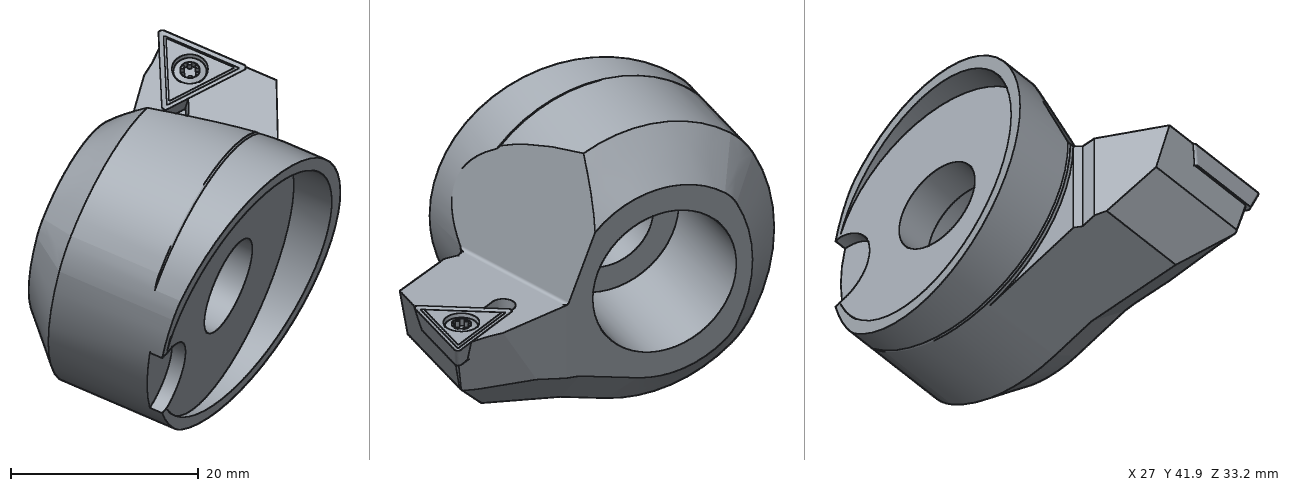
import cadquery as cq
import math


HUB_R = 16.6
FLAT_SIDE_R = 20.6
FLAT_SIDE_Y = -15.45
BLEND_R = 10.35
FRONT_CHAMFER = 5.03
REAR_X = 23.4
REAR_SLANT = 9.0
TURNED_R = 16.5
TURNED_Y = -0.035
TURNED_START = 15.6
TURNED_RAMP = 0.25

BORE_R = 8.5
BORE_DEPTH = 14.0
THROUGH_R = 5.5
REAR_RECESS_R = 14.95
REAR_RECESS_X = 18.55
SCOOP_R = 5.03
SCOOP_X = 16.93
SCOOP_Y = -14.8

ARM_ROOT_Y = 11.6
ARM_BEND = (-2.25, 20.25)
ARM_SHOULDER_Y = 22.1
ARM_END_Y = 26.27
ARM_BACK_X = 14.5
BACK_CORNER_X = 10.5
BACK_CORNER_Y = 19.05
BACK_FOOT = (15.15, 16.65)
FLARE_Y = 17.35
UNDERSIDE_ANGLE = 16.0
UNDERSIDE_END_Y = 20.25
TIP_Y = 25.2
TIP_Z = -5.82
SIDE_RELIEF = 9.0
NOSE_SIDE_TURN = 6.5
NOSE_RELIEF = 9.5
END_RELIEF = 12.0
CORNER_CUT = 0.38
CORNER_RELIEF = 14.5
NOSE_BEVEL_POINT = (-1.1, 15.63, -7.55)
NOSE_BEVEL_SLOPE_X = -1.05
NOSE_BEVEL_SLOPE_Y = 0.08

WALL_Y = 11.45
WALL_TURN = 17.9
WALL_LEAN = 20.6
WALL_FILLET = 0.45

INSERT_CENTRE = (1.68, 23.25)
INSERT_INRADIUS = 3.2
INSERT_THICKNESS = 2.4
INSERT_NOSE_R = 0.4
INSERT_RELIEF = 11.0
LAND_WIDTH = 0.55
GROOVE_WIDTH = 0.8
GROOVE_DEPTH = 0.13
INNER_NOSE_R = 0.1

SLOT_CENTRE = (2.97, 17.7)
SLOT_R = 1.35
SLOT_LENGTH = 1.68
SLOT_ANGLE = 120.0
SLOT_TAPER = 7.0

HEAD_R = 1.75
HEAD_RIM_Z = -0.4
HEAD_TOP_Z = -0.15
HEAD_MOUTH_R = 1.93
SHANK_R = 1.25
HEAD_BOTTOM_Z = -1.1
SCREW_BOTTOM_Z = -5.03
DRIVE_R = 1.05
DRIVE_RIM_DEPTH = 0.1
DRIVE_DEPTH = 0.85
LOBES = 6
FLUTE_R = 0.25
FLUTE_PITCH_R = 0.95

BIG = 62.85


def sin(degrees):
    return math.sin(math.radians(degrees))


def cos(degrees):
    return math.cos(math.radians(degrees))


def tan(degrees):
    return math.tan(math.radians(degrees))


def half_space(point, normal):
    """Block that fills the side of a plane towards which its normal points."""
    return cq.Workplane(cq.Plane(origin=point, normal=normal)).rect(2 * BIG, 2 * BIG).extrude(BIG)


def relieved_side(x, y, facing, relief):
    """Cutter for a side face through (x, y, 0) that faces a plan angle and leans in below."""
    return half_space((x, y, 0), (cos(facing) * cos(relief), sin(facing) * cos(relief), -sin(relief)))


def x_cylinder(radius, start, end):
    return cq.Workplane("YZ", origin=(start, 0, 0)).circle(radius).extrude(end - start)


def hub_blank():
    """Hub outline of tangent arcs, symmetric about Y, with a chamfered front edge."""
    flat_centre = FLAT_SIDE_Y + FLAT_SIDE_R
    to_main = HUB_R - BLEND_R
    to_flat = FLAT_SIDE_R - BLEND_R
    blend_y = (to_main**2 - to_flat**2 + flat_centre**2) / (2 * flat_centre)
    blend_z = math.sqrt(to_main**2 - blend_y**2)

    main_angle = math.degrees(math.atan2(blend_z, blend_y))
    flat_angle = math.degrees(math.atan2(blend_z, blend_y - flat_centre))
    mid_angle = (main_angle + flat_angle) / 2
    main_end = (HUB_R * cos(main_angle), HUB_R * sin(main_angle))
    blend_mid = (blend_y + BLEND_R * cos(mid_angle), blend_z + BLEND_R * sin(mid_angle))
    flat_end = (flat_centre + FLAT_SIDE_R * cos(flat_angle), FLAT_SIDE_R * sin(flat_angle))

    def mirrored(point):
        return (point[0], -point[1])

    return (
        cq.Workplane("YZ")
        .moveTo(*main_end)
        .threePointArc(blend_mid, flat_end)
        .threePointArc((FLAT_SIDE_Y, 0), mirrored(flat_end))
        .threePointArc(mirrored(blend_mid), mirrored(main_end))
        .threePointArc((HUB_R, 0), main_end)
        .close()
        .extrude(REAR_X)
        .faces("<X")
        .chamfer(FRONT_CHAMFER)
    )


def turned_band_cutter():
    """Ring that trims the rear of the hub to the turned radius."""
    outside = HUB_R + FRONT_CHAMFER
    return (
        cq.Workplane("XY")
        .polyline(
            [
                (TURNED_START, outside),
                (TURNED_START, HUB_R),
                (TURNED_START + TURNED_RAMP, TURNED_R),
                (REAR_X, TURNED_R),
                (REAR_X, outside),
            ]
        )
        .close()
        .revolve(360, (0, 0), (1, 0))
        .translate((0, TURNED_Y, 0))
    )


def hub_body():
    rear_axis_x = REAR_X - (TURNED_R + TURNED_Y) * tan(REAR_SLANT)
    rear_cut = half_space((rear_axis_x, 0, 0), (cos(REAR_SLANT), -sin(REAR_SLANT), 0))
    return hub_blank().cut(turned_band_cutter()).cut(rear_cut)


def nose_tip_x():
    """X of the arm's outer front corner."""
    return ARM_BEND[0] - (ARM_END_Y - ARM_SHOULDER_Y) * tan(NOSE_SIDE_TURN)


def arm_plan():
    """Plan outline of the arm, before its sides are relieved."""
    return [
        (0, 0),
        (0, ARM_ROOT_Y),
        ARM_BEND,
        (ARM_BEND[0], ARM_SHOULDER_Y),
        (nose_tip_x(), ARM_END_Y),
        (BACK_CORNER_X, ARM_END_Y),
        (ARM_BACK_X, BACK_CORNER_Y),
        (ARM_BACK_X, FLARE_Y),
        BACK_FOOT,
        (BACK_FOOT[0], 0),
    ]


def arm_profile():
    """Arm outline seen along X: the underside runs off the hub as a tangent."""
    tangent = (HUB_R * sin(UNDERSIDE_ANGLE), -HUB_R * cos(UNDERSIDE_ANGLE))
    underside_end_z = tangent[1] + (UNDERSIDE_END_Y - tangent[0]) * tan(UNDERSIDE_ANGLE)
    return [
        (0, 0),
        tangent,
        (UNDERSIDE_END_Y, underside_end_z),
        (TIP_Y, TIP_Z),
        (ARM_END_Y, TIP_Z),
        (ARM_END_Y, 0),
    ]


def underside_bevel():
    """Two bevels on the lower front edge: one continues the hub chamfer, one runs to the nose."""
    inner_r = HUB_R - FRONT_CHAMFER
    down_y = sin(UNDERSIDE_ANGLE)
    down_z = -cos(UNDERSIDE_ANGLE)
    root_bevel = half_space((0, inner_r * down_y, inner_r * down_z), (-1, down_y, down_z))
    nose_bevel = half_space(NOSE_BEVEL_POINT, (NOSE_BEVEL_SLOPE_X, NOSE_BEVEL_SLOPE_Y, -1))
    return root_bevel.intersect(nose_bevel)


def arm_body():
    plan = cq.Workplane("XY").polyline(arm_plan()).close().extrude(-HUB_R)
    profile = cq.Workplane("YZ", origin=(-BIG, 0, 0)).polyline(arm_profile()).close().extrude(2 * BIG)
    arm = plan.intersect(profile)

    side = relieved_side(ARM_BEND[0], ARM_SHOULDER_Y, 180, SIDE_RELIEF)
    nose = relieved_side(ARM_BEND[0], ARM_SHOULDER_Y, 180 + NOSE_SIDE_TURN, NOSE_RELIEF)
    arm = arm.cut(side.intersect(nose))
    arm = arm.cut(relieved_side(0, ARM_END_Y, 90, END_RELIEF))
    arm = arm.cut(relieved_side(nose_tip_x(), ARM_END_Y - CORNER_CUT, 135, CORNER_RELIEF))
    return arm.cut(underside_bevel())


def chip_clearance():
    """Cutter above the arm, bounded by a leaning wall with a filleted foot."""
    section = cq.Plane(
        origin=(0, WALL_Y, 0),
        xDir=(-sin(WALL_TURN), cos(WALL_TURN), 0),
        normal=(cos(WALL_TURN), sin(WALL_TURN), 0),
    )
    return (
        cq.Workplane(section)
        .polyline([(0, 0), (BIG, 0), (BIG, BIG), (-BIG * tan(WALL_LEAN), BIG)])
        .close()
        .extrude(BIG, both=True)
        .edges(cq.NearestToPointSelector((0, WALL_Y, 0)))
        .fillet(WALL_FILLET)
    )


def triangle_frustum(top_inset, bottom_inset, nose_r, bottom_z):
    """Rounded triangle between Z = 0 and bottom_z, inset from the cutting edges."""

    def outline(inset):
        circumradius = 2 * (INSERT_INRADIUS - inset)
        return cq.Sketch().regularPolygon(circumradius, 3, 180).vertices().fillet(nose_r)

    return (
        cq.Workplane("XY", origin=(*INSERT_CENTRE, 0))
        .placeSketch(outline(top_inset), outline(bottom_inset).moved(cq.Location((0, 0, bottom_z))))
        .loft()
    )


def insert_blank():
    inset = INSERT_THICKNESS * tan(INSERT_RELIEF)
    return triangle_frustum(0, inset, INSERT_NOSE_R, -INSERT_THICKNESS)


def revolved_about_screw(profile):
    """Solid of revolution about the screw axis from (radius, Z) points."""
    return (
        cq.Workplane("XZ", origin=(INSERT_CENTRE[0], INSERT_CENTRE[1], 0))
        .polyline(profile)
        .close()
        .revolve(360, (0, 0), (0, 1))
    )


def screw_blank():
    return revolved_about_screw(
        [
            (0, HEAD_TOP_Z),
            (DRIVE_R, HEAD_TOP_Z),
            (HEAD_R, HEAD_RIM_Z),
            (SHANK_R, HEAD_BOTTOM_Z),
            (SHANK_R, SCREW_BOTTOM_Z),
            (0, SCREW_BOTTOM_Z),
        ]
    )


def make_insert():
    """Triangular insert with a chip groove along its edges and a screw seat."""
    groove = triangle_frustum(0, LAND_WIDTH, INNER_NOSE_R, -GROOVE_DEPTH).cut(
        triangle_frustum(GROOVE_WIDTH, LAND_WIDTH, INNER_NOSE_R, -GROOVE_DEPTH)
    )
    hole_mouth = revolved_about_screw([(0, 0), (HEAD_MOUTH_R, 0), (HEAD_R, HEAD_RIM_Z), (0, HEAD_RIM_Z)])
    return insert_blank().cut(groove).cut(hole_mouth).cut(screw_blank())


def make_screw():
    """Countersunk screw with a six-lobed drive recess."""
    drive_top = cq.Workplane("XY", origin=(*INSERT_CENTRE, HEAD_TOP_Z))
    rim = drive_top.circle(DRIVE_R).extrude(-DRIVE_RIM_DEPTH)
    flutes = drive_top.polarArray(FLUTE_PITCH_R, 0, 360, LOBES).circle(FLUTE_R).extrude(-DRIVE_DEPTH)
    drive = drive_top.circle(DRIVE_R).extrude(-DRIVE_DEPTH).cut(flutes)
    return screw_blank().cut(rim).cut(drive)


def corner_slot():
    """Tapered slot that clears the insert's inner corner."""
    centre_x = SLOT_CENTRE[0] + SLOT_LENGTH / 2 * cos(SLOT_ANGLE)
    centre_y = SLOT_CENTRE[1] + SLOT_LENGTH / 2 * sin(SLOT_ANGLE)
    return (
        cq.Workplane("XY", origin=(centre_x, centre_y, 0))
        .slot2D(SLOT_LENGTH + 2 * SLOT_R, 2 * SLOT_R, SLOT_ANGLE)
        .extrude(-INSERT_THICKNESS, taper=SLOT_TAPER)
    )


def make_holder():
    """Hub and arm in one piece, with the bores, the notch and the insert's seat."""
    holder = hub_body().union(arm_body()).cut(chip_clearance())
    holder = holder.cut(x_cylinder(BORE_R, 0, BORE_DEPTH))
    holder = holder.cut(x_cylinder(THROUGH_R, BORE_DEPTH, REAR_X))
    holder = holder.cut(x_cylinder(REAR_RECESS_R, REAR_RECESS_X, REAR_X))
    holder = holder.cut(x_cylinder(SCOOP_R, SCOOP_X, REAR_X).translate((0, SCOOP_Y, 0)))
    return holder.cut(insert_blank()).cut(corner_slot()).cut(screw_blank())


holder = make_holder()
insert = make_insert()
screw = make_screw()

result = cq.Compound.makeCompound([holder.val(), insert.val(), screw.val()])